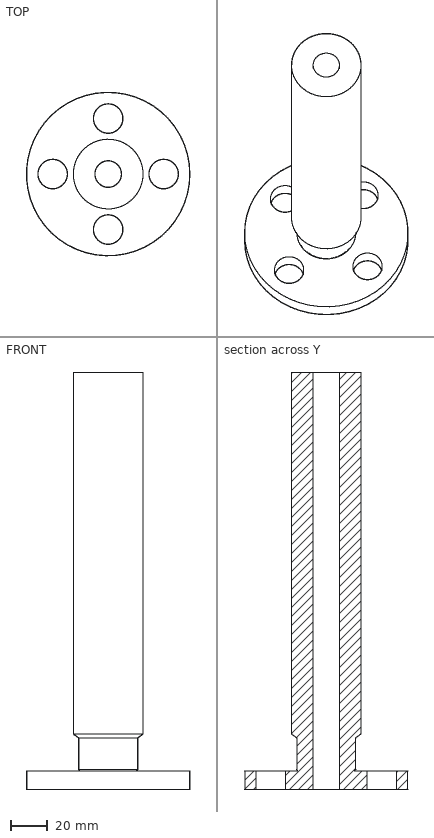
import cadquery as cq

total_height = 227.0

flange_diameter = 89.0
flange_thickness = 10.2
bolt_circle_diameter = 60.4
bolt_hole_diameter = 16.0
bolt_hole_count = 4

neck_diameter = 32.2
neck_top = 28.1
neck_base_chamfer = 0.7
pipe_diameter = 38.0
cone_height = 2.0
bore_diameter = 14.3


def turned_body():
    """Revolve the half outline of flange, neck, cone and pipe about Z."""
    outline = [
        (0, 0),
        (flange_diameter / 2, 0),
        (flange_diameter / 2, flange_thickness),
        (neck_diameter / 2 - neck_base_chamfer, flange_thickness),
        (neck_diameter / 2, flange_thickness + neck_base_chamfer),
        (neck_diameter / 2, neck_top),
        (pipe_diameter / 2, neck_top + cone_height),
        (pipe_diameter / 2, total_height),
        (0, total_height),
    ]
    return cq.Workplane("XZ").polyline(outline).close().revolve(360, (0, 0, 0), (0, 1, 0))


def bore():
    """Through bore along the axis."""
    return cq.Workplane("XY").circle(bore_diameter / 2).extrude(total_height)


def bolt_holes():
    """Bolt holes through the flange, on the X and Y axes."""
    return (
        cq.Workplane("XY")
        .polarArray(bolt_circle_diameter / 2, 0, 360, bolt_hole_count)
        .circle(bolt_hole_diameter / 2)
        .extrude(flange_thickness)
    )


result = turned_body().cut(bore()).cut(bolt_holes())